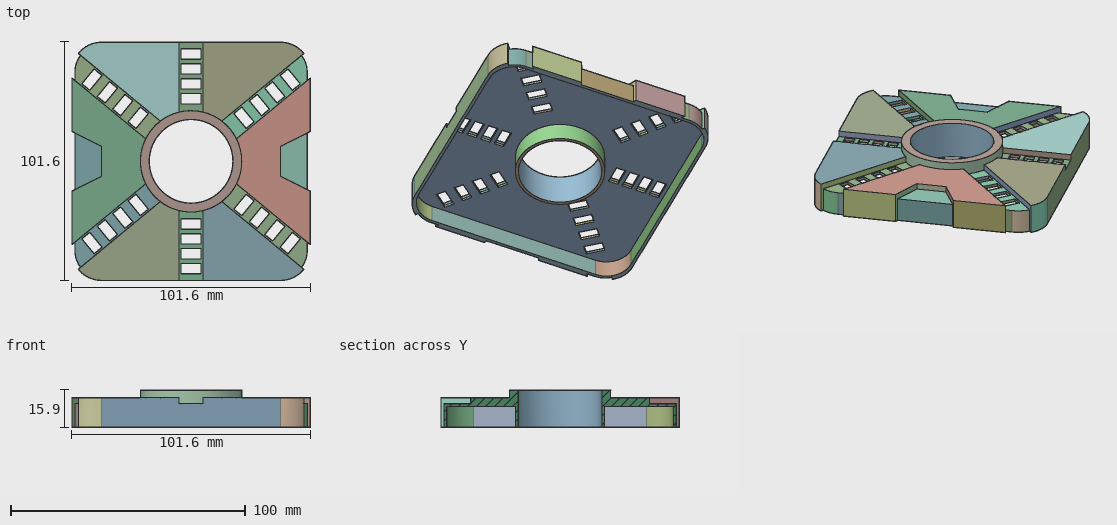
import cadquery as cq

body_size = 101.6
body_height = 12.7
corner_radius = 12.7
wall_step = 1.27
wall_thickness = 1.27
floor_thickness = 1.27

bore_diameter = 35.56
hub_diameter = 43.18
tube_diameter = 38.1
hub_height = 15.875

straight_channel_width = 10.16
diagonal_channel_width = 9.8
channel_depth = 2.54
diagonal_angle = 39.5

window_length = 4.318
straight_window_width = 8.382
diagonal_window_width = 8.128
window_count = 4
straight_window_start = 26.67
straight_window_pitch = 6.35
diagonal_window_start = 29.2
diagonal_window_pitch = 8.51

pocket_mouth = 25.4
pocket_back = 12.7
pocket_depth = 12.7

half_size = body_size / 2
floor_top = body_height - channel_depth
cavity_height = floor_top - floor_thickness
setback_radius = corner_radius - wall_step
channel_reach = body_size

diagonal_angles = [diagonal_angle, 180 - diagonal_angle, 180 + diagonal_angle, 360 - diagonal_angle]
straight_angles = [90, 270]


def rounded_block(size_x, size_y, radius, height):
    """Upright block with rounded vertical corners, standing on Z = 0."""
    block = cq.Workplane("XY").box(size_x, size_y, height, centered=(True, True, False))
    return block.edges("|Z").fillet(radius)


def cylinder(diameter, height):
    """Upright cylinder on the part axis, standing on Z = 0."""
    return cq.Workplane("XY").circle(diameter / 2).extrude(height)


def channel(angle, width, bottom):
    """Bar running outward from the part axis, from the given level up to the top face."""
    bar = cq.Workplane("XY", origin=(0, 0, bottom)).box(
        channel_reach, width, body_height - bottom, centered=(False, True, False)
    )
    return bar.rotate((0, 0, 0), (0, 0, 1), angle)


def pocket(side, bottom):
    """Trapezoid that opens to the +X (side = 1) or -X (side = -1) face."""
    mouth_x = side * half_size
    back_x = side * (half_size - pocket_depth)
    outline = [
        (mouth_x, -pocket_mouth / 2),
        (back_x, -pocket_back / 2),
        (back_x, pocket_back / 2),
        (mouth_x, pocket_mouth / 2),
    ]
    return cq.Workplane("XY", origin=(0, 0, bottom)).polyline(outline).close().extrude(body_height - bottom)


def windows(angle, width, start, pitch):
    """Row of rectangular windows through one channel floor."""
    centres = [(start + index * pitch, 0) for index in range(window_count)]
    row = cq.Workplane("XY").pushPoints(centres).rect(window_length, width).extrude(floor_top)
    return row.rotate((0, 0, 0), (0, 0, 1), angle)


body = rounded_block(body_size, body_size, corner_radius, body_height)
core_size = body_size - 2 * wall_step
core = rounded_block(core_size, core_size, setback_radius, floor_top)

for angle in diagonal_angles:
    body = body.cut(channel(angle, diagonal_channel_width, 0).cut(core))
for side in (1, -1):
    body = body.cut(pocket(side, 0).cut(core))

for angle in straight_angles:
    body = body.cut(channel(angle, straight_channel_width, floor_top))

cavity_size_x = body_size - 2 * (wall_step + wall_thickness)
cavity_size_y = body_size - 2 * wall_thickness
cavity = rounded_block(cavity_size_x, cavity_size_y, setback_radius, cavity_height)
body = body.cut(cavity)

for angle in straight_angles:
    body = body.cut(windows(angle, straight_window_width, straight_window_start, straight_window_pitch))
for angle in diagonal_angles:
    body = body.cut(windows(angle, diagonal_window_width, diagonal_window_start, diagonal_window_pitch))

hub = cylinder(hub_diameter, hub_height).cut(cylinder(hub_diameter, cavity_height))
tube = cylinder(tube_diameter, hub_height)
result = body.union(hub).union(tube).cut(cylinder(bore_diameter, hub_height))